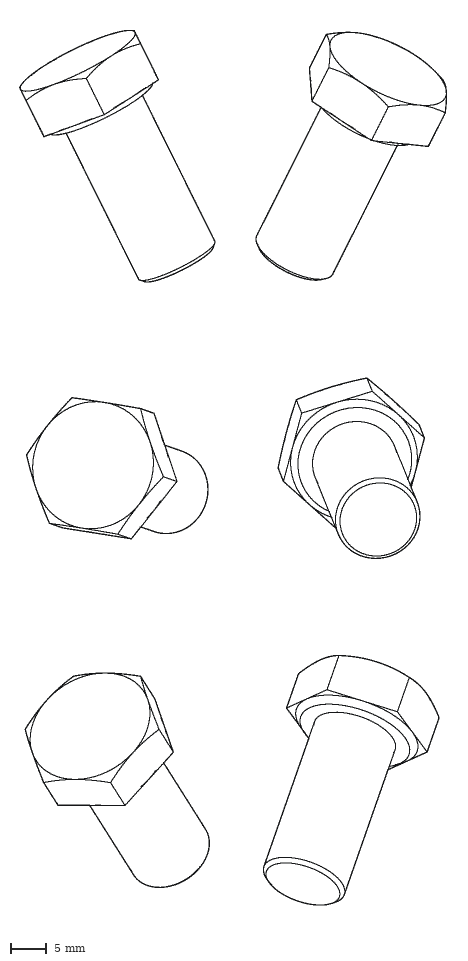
import cadquery as cq
import math

across_flats = 18.0
head_height = 7.5
collar_height = 0.92
crown_angle = 30.0
shank_diameter = 12.0
shank_length = 24.95
tip_chamfer = 0.55
tilt_angle = 28.1

across_corners = across_flats / math.cos(math.radians(30))
hex_height = head_height - collar_height


def crown_envelope():
    """Solid of revolution whose conical top trims the hexagon's corners."""
    flat_radius = across_flats / 2
    outer_radius = across_corners
    drop = (outer_radius - flat_radius) * math.tan(math.radians(crown_angle))
    return (
        cq.Workplane("XZ")
        .moveTo(0, 0)
        .lineTo(outer_radius, 0)
        .lineTo(outer_radius, head_height - drop)
        .lineTo(flat_radius, head_height)
        .lineTo(0, head_height)
        .close()
        .revolve(360, (0, 0, 0), (0, 1, 0))
    )


def hex_head():
    """Crowned hexagon with corners on the X axis, above the collar."""
    hexagon = (
        cq.Workplane("XY")
        .workplane(offset=collar_height)
        .polygon(6, across_corners)
        .extrude(hex_height)
    )
    return hexagon.intersect(crown_envelope())


def collar():
    """Tapered disc that narrows toward the bearing face at Z = 0."""
    return (
        cq.Workplane("XY")
        .workplane(offset=collar_height)
        .circle(across_flats / 2)
        .workplane(offset=-collar_height)
        .circle(across_flats / 2 - collar_height)
        .loft()
    )


def shank():
    """Plain round shank with a chamfered tip."""
    return (
        cq.Workplane("XY")
        .circle(shank_diameter / 2)
        .extrude(-shank_length)
        .faces("<Z")
        .chamfer(tip_chamfer)
    )


bolt = hex_head().union(collar()).union(shank())
result = bolt.rotate((0, 0, 0), (0, 1, 0), -tilt_angle)